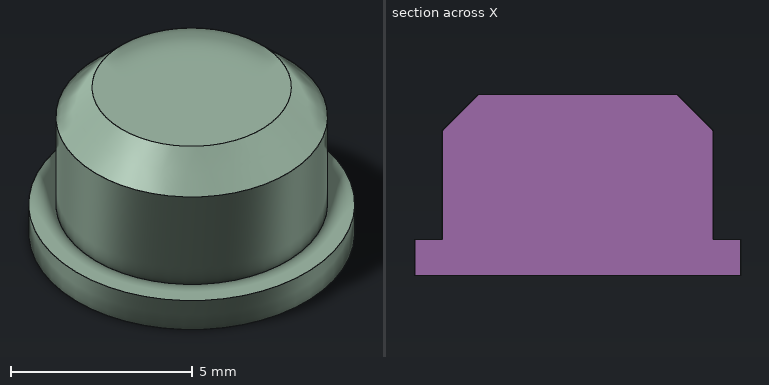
import cadquery as cq

flange_diameter = 9.0
flange_thickness = 1.0
body_diameter = 7.5
total_height = 5.0
top_chamfer = 1.0


def make_flange():
    """Round base flange standing on the XY plane."""
    return cq.Workplane("XY").circle(flange_diameter / 2).extrude(flange_thickness)


def make_body():
    """Cylindrical plug body with a 45 degree chamfer around its top edge."""
    body = cq.Workplane("XY").circle(body_diameter / 2).extrude(total_height)
    return body.faces(">Z").edges().chamfer(top_chamfer)


result = make_flange().union(make_body())